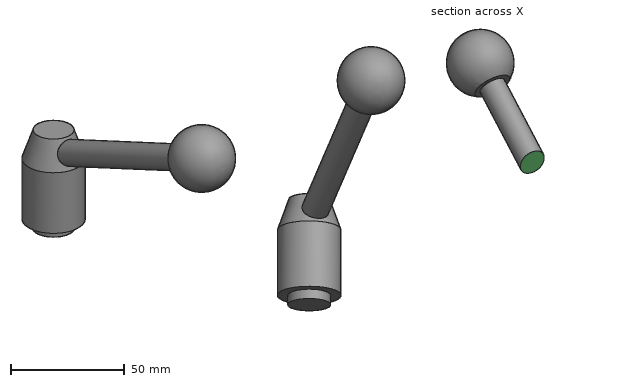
import cadquery as cq
import math

hub_diameter = 28.0
hub_shoulder_height = 34.4
hub_height = 48.5
hub_top_diameter = 18.0
neck_diameter = 19.0
neck_height = 4.3

arm_diameter = 12.0
arm_angle = 20
ball_diameter = 30.0
flat_distance = 12.3
overall_length = 129.7
overall_height = 89.0

ball_radius = ball_diameter / 2
ball_x = overall_length - hub_diameter / 2 - ball_radius
ball_z = overall_height - ball_radius
arm_length = ball_x / math.cos(math.radians(arm_angle))


def make_hub():
    """Revolve the neck, cylindrical body and tapered top."""
    return (
        cq.Workplane("XZ")
        .lineTo(neck_diameter / 2, 0)
        .lineTo(neck_diameter / 2, neck_height)
        .lineTo(hub_diameter / 2, neck_height)
        .lineTo(hub_diameter / 2, hub_shoulder_height)
        .lineTo(hub_top_diameter / 2, hub_height)
        .lineTo(0, hub_height)
        .close()
        .revolve(360, (0, 0), (0, 1))
    )


def make_arm():
    """Run the arm from the hub axis to the ball centre, on the ball's inclined axis."""
    return arm_plane().circle(arm_diameter / 2).extrude(arm_length)


def arm_plane():
    """Plane across the arm where its axis meets the hub axis."""
    slope = math.radians(arm_angle)
    direction = (math.cos(slope), 0, math.sin(slope))
    start = (0, 0, ball_z - ball_x * math.tan(slope))
    return cq.Workplane(cq.Plane(origin=start, xDir=(0, 1, 0), normal=direction))


def make_ball():
    """Sphere with a flat face, square to the arm, where the arm enters."""
    ball = cq.Workplane("XY").sphere(ball_radius).translate((ball_x, 0, ball_z))
    cutter = arm_plane().circle(ball_radius).extrude(arm_length - flat_distance)
    return ball.cut(cutter)


result = make_hub().union(make_arm()).union(make_ball())